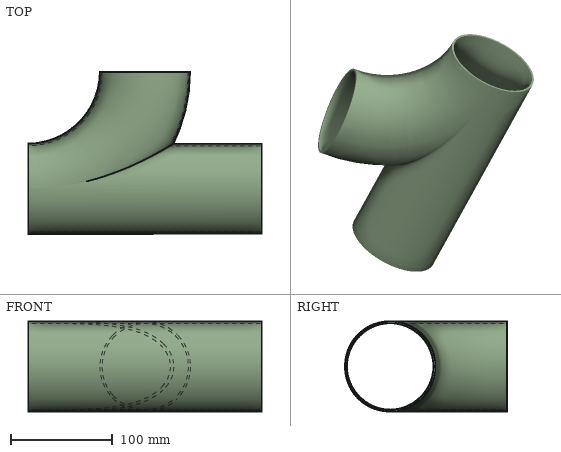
import cadquery as cq

run_length = 230.0
outer_diameter = 89.0
bore_diameter = 84.9
bend_radius = 115.0
bend_angle = 90.0

trim_reach = outer_diameter


def tube_section():
    """Ring-shaped tube section at the inlet, in the YZ plane."""
    return cq.Workplane("YZ").circle(outer_diameter / 2).circle(bore_diameter / 2)


def straight_run():
    """Straight tube along X, starting at the inlet."""
    return tube_section().extrude(run_length)


def bent_branch():
    """Tube elbow that leaves the inlet along +X and turns to face +Y."""
    return tube_section().revolve(bend_angle, (bend_radius, 0), (bend_radius, 1))


def seam_point(fraction):
    """Point of the seam in the XY plane, at a fraction of the run's length.

    Tubes of equal diameter sharing one inlet meet where a point is as far from
    the run's axis as from the branch's axis: y = x^2 / (4 * bend_radius).
    This holds for the outer wall and for the bore alike.
    """
    x = run_length * fraction
    return (x, x**2 / (4 * bend_radius))


def run_side_of_seam():
    """Block that fills the run's side of the seam, from the inlet to the far end."""
    profile = (
        cq.Workplane("XY")
        .parametricCurve(seam_point, makeWire=False)
        .lineTo(run_length, -trim_reach)
        .lineTo(0, -trim_reach)
        .close()
    )
    return profile.extrude(trim_reach, both=True)


run = straight_run().intersect(run_side_of_seam())
branch = bent_branch().cut(run_side_of_seam())
result = run.union(branch)